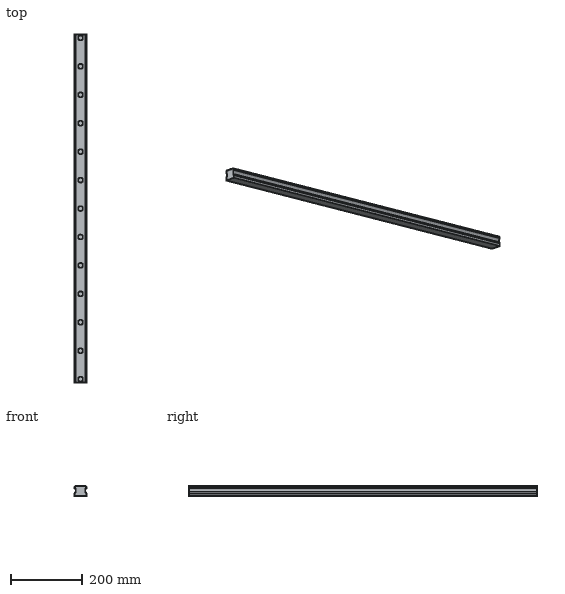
import cadquery as cq

rail_width = 34.0
rail_height = 29.0
rail_length = 980.0

hole_count = 13
hole_pitch = 80.0
cap_diameter = 14.0
cap_recess = 0.1

half_width = rail_width / 2
top_half_width = 13.5
shoulder_half_width = 15.8
shoulder_height = 26.0
head_top_height = 24.5
head_bottom_height = 23.0
waist_half_width = 13.5
neck_half_width = 14.2
neck_height = 20.0
waist_top_height = 17.0
waist_bottom_height = 12.5
foot_height = 7.5
groove_sag = 0.5


def groove_midpoint(start, end):
    """Point on a ball groove, set inwards (towards X = 0) from the middle of its chord."""
    return ((start[0] + end[0]) / 2 - groove_sag, (start[1] + end[1]) / 2)


def rail_body():
    """Extrude the rail section along Y, centred on the origin in X and Y."""
    shoulder = (shoulder_half_width, shoulder_height)
    head_top = (half_width, head_top_height)
    head_bottom = (half_width, head_bottom_height)
    neck = (neck_half_width, neck_height)
    right_half = (
        cq.Workplane("XZ")
        .lineTo(half_width, 0)
        .lineTo(half_width, foot_height)
        .lineTo(waist_half_width, waist_bottom_height)
        .lineTo(waist_half_width, waist_top_height)
        .lineTo(*neck)
        .threePointArc(groove_midpoint(neck, head_bottom), head_bottom)
        .lineTo(*head_top)
        .threePointArc(groove_midpoint(head_top, shoulder), shoulder)
        .lineTo(top_half_width, rail_height)
        .lineTo(0, rail_height)
        .close()
        .extrude(rail_length / 2, both=True)
    )
    return right_half.union(right_half.mirror("YZ")).clean()


def cap_recesses():
    """Discs that sink the row of cap recesses into the top face."""
    return (
        cq.Workplane("XY", origin=(0, 0, rail_height))
        .rarray(1, hole_pitch, 1, hole_count)
        .circle(cap_diameter / 2)
        .extrude(-cap_recess)
    )


result = rail_body().cut(cap_recesses())